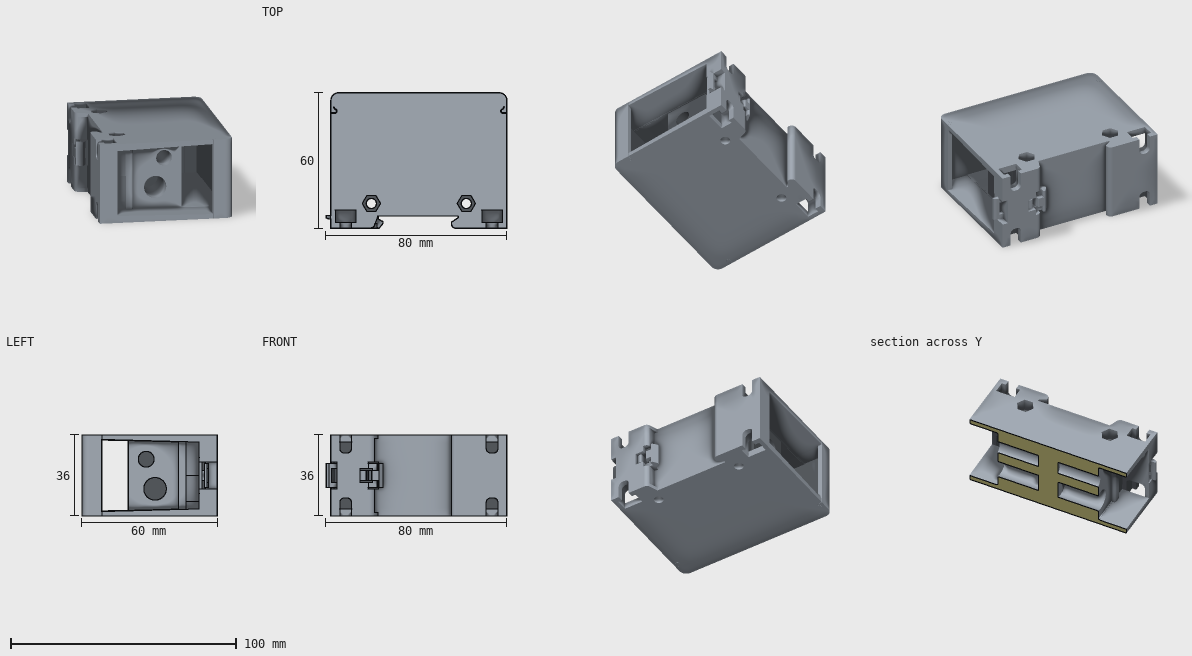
import cadquery as cq
import math


LENGTH = 78.0
HEIGHT = 60.05
WIDTH = 36.0
MID_X = LENGTH / 2
MID_Z = WIDTH / 2
CORNER_RADIUS = 3.5

GROOVE_DEPTH = 5.43
GROOVE_LEFT = 20.85
GROOVE_RIGHT = 56.4
LEFT_LIP_START = 17.3
LEFT_LIP_RADIUS = 2.3
LEFT_LIP_ANGLE = math.radians(70)
RIGHT_LIP_RADIUS = 2.05
RIGHT_LIP_X = 53.4
RIGHT_LIP_HEIGHT = 2.8
RIGHT_UNDERCUT_HEIGHT = 4.7
LIP_RELIEF_X = 19.38
LIP_END_RIB = 1.73

WALL = 2.0
CHAMBER_FLOOR = 8.06
CHAMBER_DEPTH = 14.0
WINDOW_TOP = 51.0
BLOCK_TOP = 39.5
DRAFT_TOP = 52.0
BOTTOM_WALL = 3.2
CENTRE_INSET = 0.3
CENTRE_DRAFT_BOTTOM = 45.0
RIM_LENGTH = 0.5
RIM_INSET = 0.2
DRAFT_SLOPE = (BOTTOM_WALL - WALL) / (DRAFT_TOP - CHAMBER_FLOOR)

LEDGE_TOP = 17.3
LEDGE_LENGTH = 2.0
LEDGE_RADIUS = 0.9
LEDGE_FOOT_TOP = 13.9
LEDGE_FOOT_SPLITS = (6.4, 18.0)
LEDGE_FOOT_LENGTHS = (0.6, 0.9, 1.2)

CABLE_HOLES = ((7.0, 31.55, 25.2), (10.0, 27.6, 12.1))
CABLE_HOLE_DEPTH = 20.0

BOLT_XS = (18.0, 60.0)
BOLT_Y = 11.0
BOLT_DIAMETER = 4.4
NUT_FLATS = 7.0
NUT_DEPTH = 6.0

SCREW_X = 6.6
SCREW_HEAD_WIDTH = 9.1
SCREW_HEAD_DEPTH = 10.0
SCREW_HEAD_BOTTOM = 2.6
SCREW_HEAD_TOP = 8.1
SCREW_SHANK_WIDTH = 5.2
SCREW_SHANK_DEPTH = 8.1
SCREW_POCKET_RADIUS = 2.1

SEAM_GAP = 0.1
SEAM_HOOK_X = 1.85
SEAM_HOOK_RADIUS = 0.9
SEAM_TAIL_X = 1.3
SEAM_TAIL_Y = 53.8

LATCH_SLOT_WIDTH = 11.9
LATCH_WIDTH = 10.7
LATCH_EYE_WIDTH = 6.1
TONGUE_WIDTH = 4.4
CHANNEL_TOP = 6.94
CHANNEL_BOTTOM = 5.3
NOTCH_LENGTH = 2.66
NOTCH_LIP_START = 0.3
NOTCH_LIP_END = 1.45
NOTCH_CROWN = 7.4
NOTCH_RADIUS = 1.45
LATCH_TOP = 5.75
TAB_OVERHANG = 2.0
TAB_BOTTOM = 4.05
TAB_TIP_BOTTOM = 4.6
TAB_CHAMFER_X = -0.8
TAB_EYE_START = 0.52
MOUTH_START = 16.7
MOUTH_END = 21.16
SPRING_START = 12.9
SPRING_END = 18.56
PLATE_BOTTOM = 2.1
HOOK_HEEL_X = 20.58
HOOK_HEEL_CHAMFER = 0.4
HOOK_TOE_X = 21.45
HOOK_NOSE_X = 23.2
HOOK_NOSE_BOTTOM = 2.3
HOOK_NOSE_TOP = 2.93
HOOK_NECK_X = 20.7
HOOK_NECK_Y = 4.43
TONGUE_BACK_Y = 1.9
TONGUE_CROWN = (14.0, 0.7)
TONGUE_BACK_END = (15.5, 0.7)
TONGUE_VALLEY = ((15.6, 4.9), (16.1, 4.7), (16.7, 4.7))
TONGUE_FOOT_X = 18.0
TONGUE_FOOT_CHAMFER = 0.3


def box(x0, x1, y0, y1, z0, z1):
    """Axis-aligned box between the given limits."""
    return cq.Workplane("XY").box(x1 - x0, y1 - y0, z1 - z0, centered=False).translate((x0, y0, z0))


def centred_box(x0, x1, y0, y1, width):
    """Box centred across the housing width."""
    return box(x0, x1, y0, y1, MID_Z - width / 2, MID_Z + width / 2)


def centred_prism(profile, width):
    """Closed XY profile extruded about the middle of the housing width."""
    return profile.extrude(width / 2, both=True).translate((0, 0, MID_Z))


def both_ends(shape):
    """The shape together with its mirror image at the other end of the housing."""
    return shape.union(shape.mirror("YZ", (MID_X, 0, 0)))


def housing():
    """Solid outer body with the rail groove across its foot."""
    left_end = (
        LEFT_LIP_START + LEFT_LIP_RADIUS * math.sin(LEFT_LIP_ANGLE),
        LEFT_LIP_RADIUS * (1 - math.cos(LEFT_LIP_ANGLE)),
    )
    right_end = RIGHT_LIP_X + RIGHT_LIP_RADIUS
    body = (
        cq.Workplane("XY")
        .lineTo(LEFT_LIP_START, 0)
        .radiusArc(left_end, -LEFT_LIP_RADIUS)
        .lineTo(GROOVE_LEFT, GROOVE_DEPTH)
        .lineTo(GROOVE_RIGHT, GROOVE_DEPTH)
        .lineTo(GROOVE_RIGHT, RIGHT_UNDERCUT_HEIGHT)
        .lineTo(RIGHT_LIP_X, RIGHT_LIP_HEIGHT)
        .lineTo(RIGHT_LIP_X, RIGHT_LIP_RADIUS)
        .radiusArc((right_end, 0), -RIGHT_LIP_RADIUS)
        .lineTo(LENGTH, 0)
        .lineTo(LENGTH, HEIGHT)
        .lineTo(0, HEIGHT)
        .close()
        .extrude(WIDTH)
        .edges("|Z and >Y")
        .fillet(CORNER_RADIUS)
    )
    lip_relief = box(LIP_RELIEF_X, GROOVE_LEFT, 0, GROOVE_DEPTH, LIP_END_RIB, WIDTH - LIP_END_RIB)
    return body.cut(lip_relief)


def cavity(x0, x1, wall_steps):
    """Hollow from x0 to x1; wall_steps lists (Y, side wall thickness) from bottom to top."""
    far = [(y, WIDTH - wall) for y, wall in reversed(wall_steps)]
    return cq.Workplane("YZ").polyline(wall_steps + far).close().extrude(x1 - x0).translate((x0, 0, 0))


def end_chamber():
    """Left end chamber: open window below the lid, wall beside the lid, ledges on the end wall."""
    steps = [(CHAMBER_FLOOR, BOTTOM_WALL), (DRAFT_TOP, WALL), (HEIGHT - WALL, WALL)]
    rim_steps = [(y, wall + RIM_INSET) for y, wall in steps]
    rim_start = CHAMBER_DEPTH - RIM_LENGTH
    lid_end_wall = box(0, WALL, WINDOW_TOP, HEIGHT, 0, WIDTH)
    chamber = cavity(0, rim_start, steps).cut(lid_end_wall)
    chamber = chamber.union(cavity(rim_start, CHAMBER_DEPTH, rim_steps))
    ledge = (
        box(CHAMBER_DEPTH - LEDGE_LENGTH, CHAMBER_DEPTH, LEDGE_FOOT_TOP, LEDGE_TOP, 0, WIDTH)
        .edges("|Z and <X and >Y")
        .fillet(LEDGE_RADIUS)
    )
    chamber = chamber.cut(ledge)
    z_limits = (0, *LEDGE_FOOT_SPLITS, WIDTH)
    for z0, z1, length in zip(z_limits, z_limits[1:], LEDGE_FOOT_LENGTHS):
        chamber = chamber.cut(box(CHAMBER_DEPTH - length, CHAMBER_DEPTH, 0, LEDGE_FOOT_TOP, z0, z1))
    return chamber


def centre_cavity():
    """Space above the centre block that joins the two end chambers."""
    upper_wall = WALL + CENTRE_INSET
    lower_wall = upper_wall + DRAFT_SLOPE * (DRAFT_TOP - CENTRE_DRAFT_BOTTOM)
    steps = [
        (BLOCK_TOP, lower_wall),
        (CENTRE_DRAFT_BOTTOM, lower_wall),
        (DRAFT_TOP, upper_wall),
        (HEIGHT - WALL, upper_wall),
    ]
    return cavity(CHAMBER_DEPTH, LENGTH - CHAMBER_DEPTH, steps)


def cable_holes():
    """Blind cable holes running into the centre block from the left chamber."""
    holes = cq.Workplane("YZ")
    for diameter, y, z in CABLE_HOLES:
        start = cq.Workplane("YZ", origin=(CHAMBER_DEPTH, y, z))
        holes = holes.union(start.circle(diameter / 2).extrude(CABLE_HOLE_DEPTH))
    return holes


def bolt_holes():
    """Through holes across the width with hexagonal nut pockets in the +Z face."""
    points = [(x, BOLT_Y) for x in BOLT_XS]
    across_corners = NUT_FLATS / math.cos(math.pi / 6)
    holes = cq.Workplane("XY").pushPoints(points).circle(BOLT_DIAMETER / 2).extrude(WIDTH)
    nuts = (
        cq.Workplane("XY", origin=(0, 0, WIDTH - NUT_DEPTH))
        .pushPoints(points)
        .polygon(6, across_corners)
        .extrude(NUT_DEPTH)
    )
    return holes.union(nuts)


def screw_slot(width, depth, y0, y1):
    """Slot cut from the +Z face with rounded bottom corners."""
    slot = box(SCREW_X - width / 2, SCREW_X + width / 2, y0, y1, WIDTH - depth, WIDTH)
    return slot.edges("|Y and <Z").fillet(SCREW_POCKET_RADIUS)


def screw_pockets():
    """Stepped foot screw pockets at both ends, in both side walls."""
    shank = screw_slot(SCREW_SHANK_WIDTH, SCREW_SHANK_DEPTH, 0, SCREW_HEAD_TOP)
    head = screw_slot(SCREW_HEAD_WIDTH, SCREW_HEAD_DEPTH, SCREW_HEAD_BOTTOM, SCREW_HEAD_TOP)
    pair = both_ends(shank.union(head))
    return pair.union(pair.mirror("XY", (0, 0, MID_Z)))


def lid_seam():
    """Narrow hooked gap where the lid snaps onto the left end of the base."""
    hook_mid = WINDOW_TOP + SEAM_HOOK_RADIUS
    hook_top = WINDOW_TOP + 2 * SEAM_HOOK_RADIUS
    hook_tip = SEAM_HOOK_X + SEAM_HOOK_RADIUS
    return (
        cq.Workplane("XY")
        .moveTo(0, WINDOW_TOP)
        .lineTo(SEAM_HOOK_X, WINDOW_TOP)
        .threePointArc((hook_tip, hook_mid), (SEAM_HOOK_X, hook_top))
        .lineTo(SEAM_TAIL_X, SEAM_TAIL_Y)
        .lineTo(SEAM_TAIL_X - SEAM_GAP, SEAM_TAIL_Y)
        .lineTo(SEAM_HOOK_X, hook_top - SEAM_GAP)
        .threePointArc((hook_tip - SEAM_GAP, hook_mid), (SEAM_HOOK_X, WINDOW_TOP + SEAM_GAP))
        .lineTo(0, WINDOW_TOP + SEAM_GAP)
        .close()
        .extrude(WIDTH)
    )


def latch_channel():
    """Channel for the latch: end notch, buried run, hook mouth and spring opening."""
    notch = (
        cq.Workplane("XY")
        .lineTo(NOTCH_LENGTH, 0)
        .lineTo(NOTCH_LENGTH, NOTCH_CROWN)
        .radiusArc((NOTCH_LIP_END, CHANNEL_TOP), -NOTCH_RADIUS)
        .lineTo(NOTCH_LIP_START, CHANNEL_TOP)
        .lineTo(NOTCH_LIP_START, CHAMBER_FLOOR)
        .lineTo(0, CHAMBER_FLOOR)
        .close()
    )
    channel = centred_prism(notch, LATCH_SLOT_WIDTH)
    run = centred_box(NOTCH_LENGTH, MOUTH_END, CHANNEL_BOTTOM, CHANNEL_TOP, LATCH_SLOT_WIDTH)
    mouth = centred_box(MOUTH_START, MOUTH_END, 0, CHANNEL_TOP, LATCH_SLOT_WIDTH)
    spring = centred_box(SPRING_START, SPRING_END, 0, CHANNEL_TOP, LATCH_EYE_WIDTH)
    return channel.union(run).union(mouth).union(spring)


def latch_tab():
    """Pull tab at the left end with a screwdriver eye, on the flat bar of the latch."""
    tab = (
        cq.Workplane("XY")
        .moveTo(-TAB_OVERHANG, LATCH_TOP)
        .lineTo(-TAB_OVERHANG, TAB_TIP_BOTTOM)
        .lineTo(TAB_CHAMFER_X, TAB_BOTTOM)
        .lineTo(NOTCH_LENGTH, TAB_BOTTOM)
        .lineTo(NOTCH_LENGTH, CHANNEL_BOTTOM)
        .lineTo(MOUTH_END, CHANNEL_BOTTOM)
        .lineTo(MOUTH_END, LATCH_TOP)
        .close()
    )
    eye = centred_box(TAB_EYE_START, NOTCH_LENGTH, 0, CHANNEL_TOP, LATCH_EYE_WIDTH)
    return centred_prism(tab, LATCH_WIDTH).cut(eye)


def latch_hook():
    """Rail hook that reaches into the groove through the mouth."""
    hook = cq.Workplane("XY").polyline(
        [
            (MOUTH_START, LATCH_TOP),
            (MOUTH_START, PLATE_BOTTOM),
            (HOOK_HEEL_X, PLATE_BOTTOM),
            (HOOK_HEEL_X, HOOK_HEEL_CHAMFER),
            (HOOK_HEEL_X + HOOK_HEEL_CHAMFER, 0),
            (HOOK_TOE_X, 0),
            (HOOK_NOSE_X, HOOK_NOSE_BOTTOM),
            (HOOK_NOSE_X, HOOK_NOSE_TOP),
            (HOOK_NECK_X, HOOK_NECK_Y),
            (HOOK_NECK_X, LATCH_TOP),
        ]
    ).close()
    eye = centred_box(MOUTH_START, SPRING_END, 0, LATCH_TOP, LATCH_EYE_WIDTH)
    return centred_prism(hook, LATCH_WIDTH).cut(eye)


def latch_tongue():
    """Spring tongue in the middle of the latch, with a curved back and a flat foot."""
    tongue = (
        cq.Workplane("XY")
        .moveTo(MOUTH_END, LATCH_TOP)
        .lineTo(SPRING_START, LATCH_TOP)
        .lineTo(SPRING_START, TONGUE_BACK_Y)
        .threePointArc(TONGUE_CROWN, TONGUE_BACK_END)
    )
    for x, y in TONGUE_VALLEY:
        tongue = tongue.lineTo(x, y)
    tongue = (
        tongue.lineTo(TONGUE_FOOT_X, TONGUE_FOOT_CHAMFER)
        .lineTo(TONGUE_FOOT_X + TONGUE_FOOT_CHAMFER, 0)
        .lineTo(MOUTH_END, 0)
        .close()
    )
    guide = centred_box(NOTCH_LENGTH, MOUTH_START, CHANNEL_BOTTOM, CHANNEL_TOP, TONGUE_WIDTH)
    return centred_prism(tongue, TONGUE_WIDTH).union(guide)


body = housing()
body = body.cut(both_ends(end_chamber()))
body = body.cut(centre_cavity())
body = body.cut(both_ends(cable_holes()))
body = body.cut(bolt_holes())
body = body.cut(screw_pockets())
body = body.cut(both_ends(lid_seam()))
body = body.cut(latch_channel())
result = body.union(latch_tab()).union(latch_hook()).union(latch_tongue())